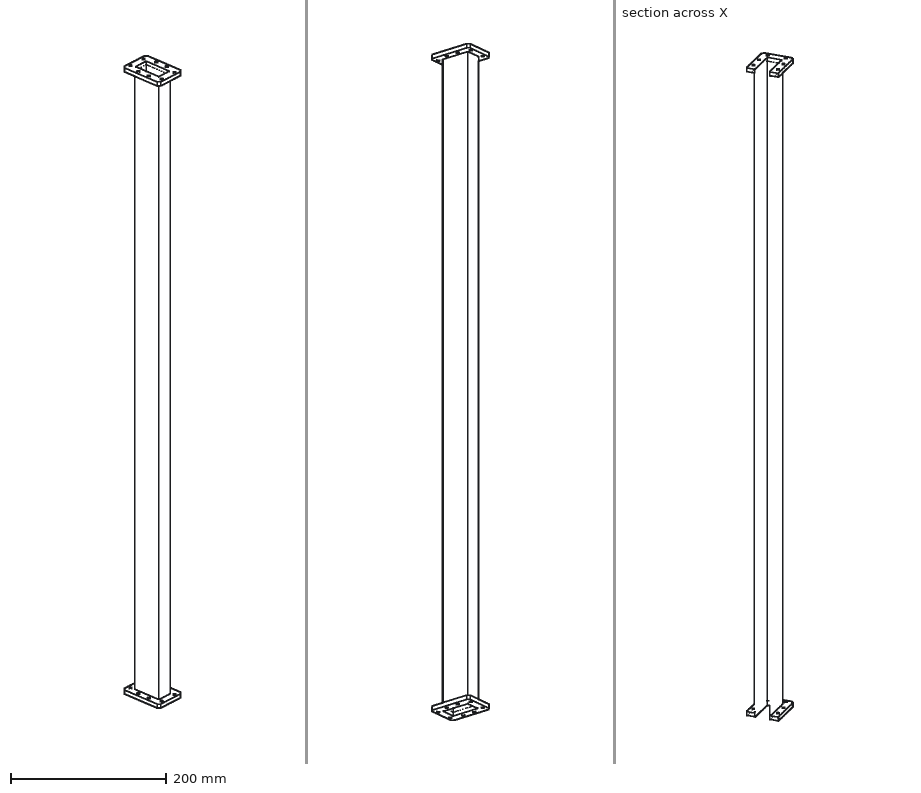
import cadquery as cq

length = 914.4
flange_width = 63.5
flange_depth = 44.45

bore_width = 40.39
bore_depth = 20.19
wall = 1.626
tube_width = bore_width + 2 * wall
tube_depth = bore_depth + 2 * wall
tube_corner_radius = 2.57

flange_thickness = 5.95
flange_chamfer = 3.1

hole_diameter = 3.7
long_side_hole_x = 9.1
long_side_hole_y = 17.1
short_side_hole_x = 27.1
short_side_hole_y = 12.4


def hole_centres():
    """Centres of the eight bolt holes, mirrored about both flange axes."""
    quadrant = [
        (long_side_hole_x, long_side_hole_y),
        (short_side_hole_x, short_side_hole_y),
    ]
    return [(sx * x, sy * y) for x, y in quadrant for sx in (-1, 1) for sy in (-1, 1)]


def make_tube():
    """Solid outer body of the tube with rounded corners, running the full length."""
    body = cq.Workplane("XY").rect(tube_width, tube_depth).extrude(length)
    return body.edges("|Z").fillet(tube_corner_radius)


def make_flange(base_z):
    """Drilled flange plate with chamfered corners, its lower face at base_z."""
    plate = (
        cq.Workplane("XY", origin=(0, 0, base_z))
        .rect(flange_width, flange_depth)
        .extrude(flange_thickness)
        .edges("|Z")
        .chamfer(flange_chamfer)
    )
    holes = (
        cq.Workplane("XY", origin=(0, 0, base_z))
        .pushPoints(hole_centres())
        .circle(hole_diameter / 2)
        .extrude(flange_thickness)
    )
    return plate.cut(holes)


def make_bore():
    """Rectangular passage through the tube and both flanges."""
    return cq.Workplane("XY").rect(bore_width, bore_depth).extrude(length)


part = make_tube()
for flange_base in (0, length - flange_thickness):
    part = part.union(make_flange(flange_base))

result = part.cut(make_bore()).translate((0, 0, -length / 2))